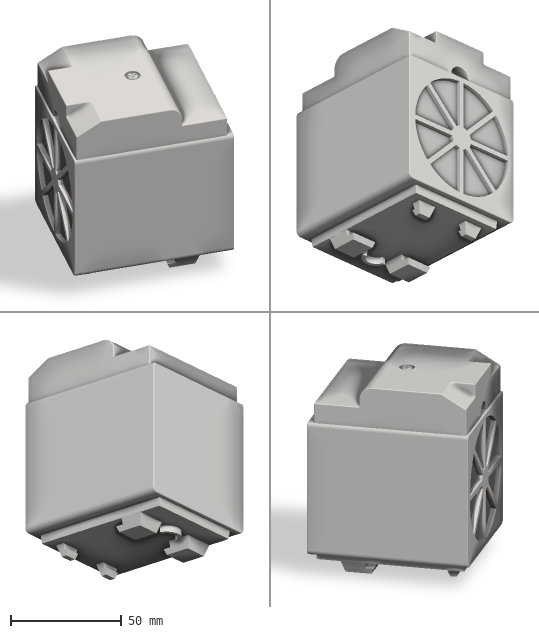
import cadquery as cq
import math

total_height = 92.6
body_bottom = 9.6
body_top = 73.4
base_bottom = 5.6

body_width = 64.6
body_depth = 75.45
body_corner_round = 2.5
body_top_trim = 0.65
body_rim_round = 0.5

block_width = 62.9
block_front = -36.7
block_back = 34.6
step_y = 13.4
step_height = 82.9
crest_round = 6.0
block_edge_round = 0.5

pocket_inner_x = 14.7
pocket_back = -25.0
pocket_low_z = 86.0
pocket_floor_round = 0.6

window_floor = 73.6
window_radius = 5.5
window_back_radius = 4.7
window_depth = 5.0

button_y = -0.9
button_well_radius = 3.6
button_well_depth = 0.9
button_base_radius = 2.7
button_top_radius = 2.0
cross_length = 3.7
cross_width = 1.5
cross_depth = 0.5
cross_tip_depth = 0.5
cross_tip_inset = 0.65

grille_z = 42.1
grille_radius = 28.8
hub_radius = 5.8
spoke_width = 2.3
spoke_count = 8
grille_depth = 2.5

base_width = 50.3
base_top_depth = 69.6
base_center_y = 0.5
base_draft = 5.0

foot_inner_x = 9.35
rear_foot_outer_x = 24.7
front_foot_outer_x = 19.2
foot_slope = 1.85
hook_z = 2.8

catch_y = 18.7
catch_outer_radius = 6.9
catch_end_angle = 15.0
catch_top_bore = 4.7
catch_low_bore = 5.2
catch_bottom = 2.4


def make_body():
    """Box with four rounded long edges, trimmed flat just below its full rounded height."""
    full_height = body_top + body_top_trim - body_bottom
    base_plane = cq.Workplane("XY", origin=(0, 0, body_bottom))
    body = (
        base_plane.rect(body_width, body_depth)
        .extrude(full_height)
        .edges("|Y")
        .fillet(body_corner_round)
    )
    trimmed_height = body_top - body_bottom
    body = body.intersect(base_plane.rect(body_width, body_depth).extrude(trimmed_height))
    return body.faces("<Y or >Y").edges().fillet(body_rim_round)


def pocket_cutter(side):
    """Wedge that slopes one front corner of the upper block; side is -1 or +1."""
    run = pocket_back - block_front
    drop = total_height - pocket_low_z
    outline = [
        (pocket_back + run, total_height + drop),
        (block_front - run, pocket_low_z - drop),
        (block_front - run, total_height + drop),
    ]
    wedge = cq.Workplane("YZ").polyline(outline).close().extrude(side * block_width)
    inner_end = "<X" if side > 0 else ">X"
    wedge = wedge.faces(inner_end).edges("not(|Y or |Z)").fillet(pocket_floor_round)
    return wedge.translate((side * pocket_inner_x, 0, 0))


def make_upper_block():
    """Stepped block with a rounded crest, sloped front corners and softened edges."""
    block = (
        cq.Workplane("YZ")
        .moveTo(block_front, body_bottom + body_corner_round)
        .lineTo(block_front, total_height)
        .lineTo(step_y - crest_round, total_height)
        .radiusArc((step_y, total_height - crest_round), crest_round)
        .lineTo(step_y, step_height)
        .lineTo(block_back, step_height)
        .lineTo(block_back, body_bottom + body_corner_round)
        .close()
        .extrude(block_width / 2, both=True)
    )
    for side in (-1, 1):
        block = block.cut(pocket_cutter(side))
    outer_edges = block.faces("<X or >X or <Y or >Y or >Z").edges("not <Z")
    near_crest_line = cq.selectors.BoxSelector(
        (-0.9, step_y - crest_round - 0.9, total_height - 0.9),
        (0.9, step_y - crest_round + 0.9, total_height + 0.9),
    )
    sharp_edges = cq.selectors.SubtractSelector(cq.selectors.Selector(), near_crest_line)
    return outer_edges.edges(sharp_edges).fillet(block_edge_round)


def make_window_cutter():
    """Tapered half-round recess with a flat floor just above the body top."""
    cone = cq.Workplane("XY").add(
        cq.Solid.makeCone(
            window_radius,
            window_back_radius,
            window_depth,
            pnt=cq.Vector(0, block_front, window_floor),
            dir=cq.Vector(0, 1, 0),
        )
    )
    upper_half = cq.Workplane("XY").box(
        body_width, body_depth, total_height, centered=(True, True, False)
    ).translate((0, 0, window_floor))
    return cone.intersect(upper_half)


def cut_button(part):
    """Round well holding a tapered button with a pointed cross slot."""
    well_floor = total_height - button_well_depth
    well = (
        cq.Workplane("XY", origin=(0, button_y, well_floor))
        .circle(button_well_radius)
        .extrude(button_well_depth)
    )
    button = cq.Workplane("XY").add(
        cq.Solid.makeCone(
            button_base_radius,
            button_top_radius,
            button_well_depth,
            pnt=cq.Vector(0, button_y, well_floor),
        )
    )
    cross_floor = cq.Workplane("XY", origin=(0, button_y, total_height - cross_depth))
    cross = cross_floor.rect(cross_length, cross_width).extrude(cross_depth)
    cross = cross.union(cross_floor.rect(cross_width, cross_length).extrude(cross_depth))
    tip_angle = math.degrees(math.atan(cross_tip_inset / cross_tip_depth))
    tip = cross_floor.rect(cross_width, cross_width).extrude(-cross_tip_depth, taper=tip_angle)
    return part.cut(well).union(button.cut(cross).cut(tip))


def make_grille_cutter():
    """Ring-shaped recess interrupted by radial spokes."""
    front = cq.Workplane("XZ", origin=(0, -body_depth / 2, grille_z))
    recess = front.circle(grille_radius).circle(hub_radius).extrude(-grille_depth)
    for index in range(spoke_count // 2):
        angle = index * 360 / spoke_count
        spoke = front.transformed(rotate=(0, 0, angle)).rect(3 * grille_radius, spoke_width)
        recess = recess.cut(spoke.extrude(-grille_depth))
    return recess


def make_base():
    """Drafted plate under the body."""
    return (
        cq.Workplane("XY", origin=(0, base_center_y, body_bottom))
        .rect(base_width, base_top_depth)
        .extrude(base_bottom - body_bottom, taper=base_draft)
    )


def make_foot(profile, outer_x):
    """Right-hand rail foot: a hooked YZ profile trimmed by side faces that lean inward."""
    hook = cq.Workplane("YZ").polyline(profile).close().extrude(body_width / 2)
    sides = (
        cq.Workplane("XZ")
        .polyline([
            (foot_inner_x, base_bottom),
            (outer_x, base_bottom),
            (outer_x - foot_slope, 0),
            (foot_inner_x + foot_slope, 0),
        ])
        .close()
        .extrude(body_depth / 2, both=True)
    )
    return hook.intersect(sides)


def make_catch():
    """Ring segment open toward the front, with radial ends and a bore that widens downward."""
    height = base_bottom - catch_bottom
    ring = (
        cq.Workplane("XY", origin=(0, catch_y, catch_bottom))
        .circle(catch_outer_radius)
        .extrude(height)
    )
    bore = cq.Workplane("XY").add(
        cq.Solid.makeCone(
            catch_low_bore, catch_top_bore, height, pnt=cq.Vector(0, catch_y, catch_bottom)
        )
    )
    reach = 2 * catch_outer_radius
    rise = reach * math.tan(math.radians(catch_end_angle))
    opening = (
        cq.Workplane("XY", origin=(0, catch_y, catch_bottom))
        .polyline([(0, 0), (reach, rise), (reach, -reach), (-reach, -reach), (-reach, rise)])
        .close()
        .extrude(height)
    )
    return ring.cut(bore).cut(opening)


rear_foot_profile = [
    (23.7, base_bottom),
    (12.6, base_bottom),
    (12.6, hook_z),
    (8.7, hook_z),
    (9.8, 0),
    (22.0, 0),
]
front_foot_profile = [
    (-30.2, base_bottom),
    (-25.9, base_bottom),
    (-25.9, hook_z),
    (-24.5, hook_z),
    (-25.6, 0),
    (-28.4, 0),
]

result = make_body().union(make_upper_block()).cut(make_window_cutter())
result = cut_button(result).cut(make_grille_cutter()).union(make_base())
for profile, outer_x in (
    (rear_foot_profile, rear_foot_outer_x),
    (front_foot_profile, front_foot_outer_x),
):
    foot = make_foot(profile, outer_x)
    result = result.union(foot).union(foot.mirror("YZ"))
result = result.union(make_catch())